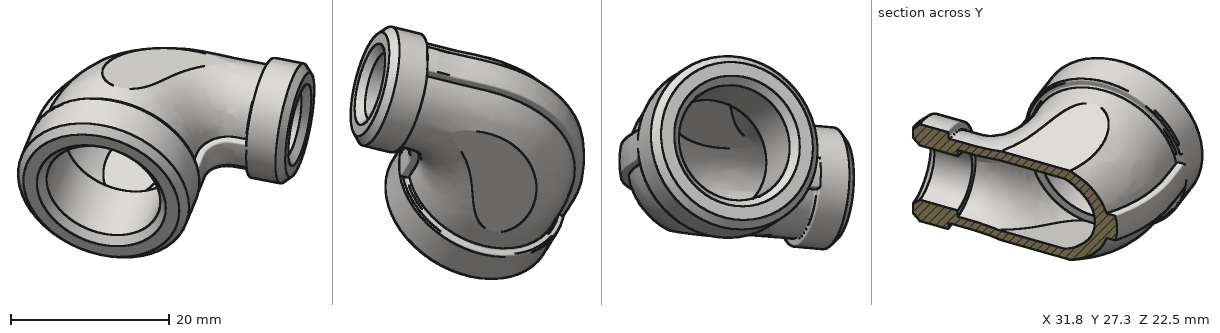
import cadquery as cq
import math


large_radius = 10.25
small_radius = 6.75
outer_bend_radius = large_radius + small_radius
inner_bend_radius = 4.0
wall = 1.5

large_end = 19.48
small_end = 20.55
large_collar_length = 6.0
small_collar_length = 5.0
collar_height = 1.0
collar_chamfer = 1.0
edge_round = 0.25

large_bore_radius = 14.95 / 2
small_bore_radius = 8.57 / 2
bore_chamfer = 1.0
large_bore_depth = 9.4

rib_width = 4.0
rib_height = 0.98
rib_overlap = 0.6

flat_lift = 0.03

bend_steps = 8

taper_share = 0.9
stock_size = 100.0

bend_run_in = 0.5
bend_start = large_radius + bend_run_in
bend_finish = large_radius + inner_bend_radius
small_bore_depth = small_end - bend_finish

large_half_plane = cq.Plane(origin=(0, 0, 0), xDir=(1, 0, 0), normal=(0, 0, -1))
small_half_plane = cq.Plane(origin=(0, 0, 0), xDir=(0, -1, 0), normal=(0, 0, 1))

flat_tilt = math.acos(small_radius / math.hypot(large_radius, large_radius)) - math.pi / 4


def outer_rail(distance, offset):
    """Point on the outside of the elbow: straight, quarter arc, straight."""
    radius = outer_bend_radius + offset
    arc_length = radius * math.pi / 2
    if distance < bend_run_in:
        return -large_radius - offset, distance - bend_start
    if distance > bend_run_in + arc_length:
        return small_radius + distance - bend_run_in - arc_length, small_radius + offset
    turn = (distance - bend_run_in) / radius
    return small_radius - radius * math.cos(turn), -large_radius + radius * math.sin(turn)


def inner_rail(turn, offset):
    """Point on the inside of the elbow: a quarter arc."""
    radius = inner_bend_radius - offset
    return bend_finish - radius * math.cos(turn), -bend_start + radius * math.sin(turn)


def half_section(outer, inner, height):
    """Upper half of an ellipse normal to the XY plane, its long axis joining two points."""
    dx = outer[0] - inner[0]
    dy = outer[1] - inner[1]
    middle = ((outer[0] + inner[0]) / 2, (outer[1] + inner[1]) / 2, 0)
    half_width = math.hypot(dx, dy) / 2
    plane = cq.Plane(origin=middle, xDir=(dx, dy, 0), normal=(-dy, dx, 0))
    arch = cq.Workplane(plane).ellipseArc(half_width, height, 0, 180, startAtCurrent=False)
    return arch.close().val()


def bend(offset):
    """Curved part of the elbow, grown outward by an offset."""
    run_out = bend_finish - small_radius
    rail_length = bend_run_in + (outer_bend_radius + offset) * math.pi / 2 + run_out
    sections = []
    for step in range(bend_steps + 1):
        share = step / bend_steps
        outer = outer_rail(rail_length * share, offset)
        inner = inner_rail(math.pi / 2 * share, offset)
        taper = math.sin(math.pi / 2 * min(1, share / taper_share)) ** 2
        height = offset + large_radius - (large_radius - small_radius) * taper
        sections.append(half_section(outer, inner, height))
    upper = cq.Workplane(cq.Solid.makeLoft(sections))
    return upper.union(upper.mirror("XY"))


def flatten(body, offset):
    """Cut the bulge of the bend off along the two tilted flats."""
    for side in (1, -1):
        normal = (0, math.sin(flat_tilt), side * math.cos(flat_tilt))
        distance = small_radius + offset + flat_lift
        origin = tuple(distance * part for part in normal)
        plane = cq.Plane(origin=origin, xDir=(1, 0, 0), normal=normal)
        waste = cq.Workplane(plane).rect(stock_size, stock_size).extrude(stock_size)
        body = body.cut(waste)
    return body


def large_cylinder(radius, start, length):
    """Cylinder on the large axis, from the given distance toward the open end."""
    return cq.Workplane("XZ", origin=(0, -start, 0)).circle(radius).extrude(length)


def small_cylinder(radius, start, length):
    """Cylinder on the small axis, from the given distance toward the open end."""
    return cq.Workplane("YZ", origin=(start, 0, 0)).circle(radius).extrude(length)


def end_profile(sketch, radius, start, end, collar_length):
    """Half section of a straight pipe with its collar; local X is the radius, Y the axis."""
    collar_radius = radius + collar_height
    step = end - collar_length
    arc = edge_round * math.sqrt(0.5)
    return (
        sketch.moveTo(0, start)
        .lineTo(radius, start)
        .lineTo(radius, step - edge_round)
        .threePointArc(
            (radius + edge_round - arc, step - edge_round + arc),
            (radius + edge_round, step),
        )
        .lineTo(collar_radius - edge_round, step)
        .threePointArc(
            (collar_radius - edge_round + arc, step + edge_round - arc),
            (collar_radius, step + edge_round),
        )
        .lineTo(collar_radius, end - collar_chamfer)
        .lineTo(collar_radius - collar_chamfer, end)
        .lineTo(0, end)
        .close()
    )


def revolve_profile(profile):
    """Turn a half section about its local Y axis."""
    return profile.revolve(360, (0, 0), (0, 1))


def large_pipe():
    profile = end_profile(
        cq.Workplane(large_half_plane), large_radius, bend_start, large_end, large_collar_length
    )
    return revolve_profile(profile)


def small_pipe():
    profile = end_profile(
        cq.Workplane(small_half_plane), small_radius, bend_finish, small_end, small_collar_length
    )
    return revolve_profile(profile)


def rib():
    """Slice of the bend, grown almost to the collar radius, with rounded edges."""
    large_length = large_end - large_collar_length + rib_overlap - bend_start
    small_length = small_end - small_collar_length + rib_overlap - bend_finish
    slab = cq.Workplane("XY").box(stock_size, stock_size, rib_width)
    grown = (
        bend(rib_height)
        .union(large_cylinder(large_radius + rib_height, bend_start, large_length))
        .union(small_cylinder(small_radius + rib_height, bend_finish, small_length))
    )
    side_edges = grown.intersect(slab).faces("<Z or >Z").edges("not (<Y or >X)")
    return side_edges.fillet(edge_round)


def cavity():
    """Cast passage between the two bores, one wall thickness inside the body."""
    passage = flatten(bend(-wall), -wall)
    bore_bottom = large_end - large_bore_depth
    return passage.cut(large_cylinder(large_radius, bore_bottom, large_bore_depth))


def bore_profile(sketch, radius, end, depth):
    """Half section of a bore with a chamfered mouth; local X is the radius, Y the axis."""
    return (
        sketch.moveTo(0, end - depth)
        .lineTo(radius, end - depth)
        .lineTo(radius, end - bore_chamfer)
        .lineTo(radius + bore_chamfer, end)
        .lineTo(0, end)
        .close()
    )


def large_bore():
    profile = bore_profile(
        cq.Workplane(large_half_plane), large_bore_radius, large_end, large_bore_depth
    )
    return revolve_profile(profile)


def small_bore():
    profile = bore_profile(
        cq.Workplane(small_half_plane), small_bore_radius, small_end, small_bore_depth
    )
    return revolve_profile(profile)


result = flatten(bend(0), 0).union(large_pipe()).union(small_pipe()).union(rib())
result = result.cut(cavity()).cut(large_bore()).cut(small_bore())